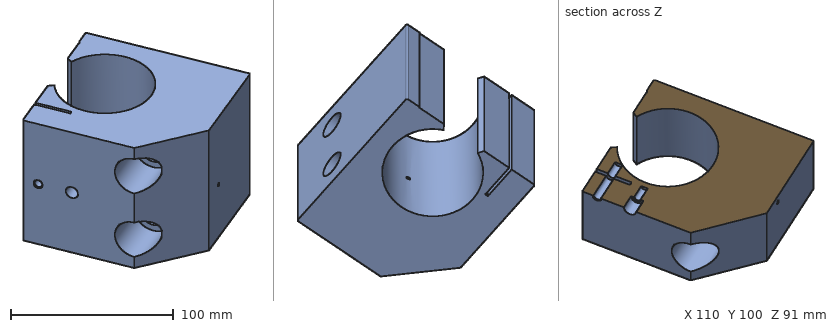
import cadquery as cq

length = 110.0
width = 100.0
height = 91.0
mid_height = height / 2
corner_chamfer = 35.0
edge_radius = 1.0

bore_x = 32.0
bore_y = 55.0
bore_diameter = 62.0
mouth_outer_width = 31.0
mouth_inner_width = 26.6
mouth_depth = 3.8

relief_depth = 0.4
pad_width = 10.0

slot_bottom = 18.0
slot_width = 2.0
slot_depth = 24.4

mounting_x = length - corner_chamfer
mounting_spacing = 48.0
mounting_diameter = 17.5
counterbore_diameter = 26.0
counterbore_depth = 30.0

clamp_x = 10.8
clamp_diameter = 5.0
clamp_mouth_diameter = 6.0
clamp_mouth_depth = 0.5
clamp_depth = 30.0

set_screw_x = 33.3
set_screw_diameter = 4.2
set_screw_mouth_diameter = 5.3
set_screw_mouth_depth = 0.5
set_screw_counterbore_diameter = 8.1
set_screw_counterbore_depth = 10.0
set_screw_depth = 20.0

cross_hole_y = 50.2
cross_hole_z = 39.9
cross_hole_diameter = 2.4


def make_block():
    block = cq.Workplane("XY").box(length, width, height, centered=False)
    relief = cq.Workplane("XY").box(relief_depth, width - pad_width, height, centered=False)
    block = block.cut(relief)
    block = block.edges("|Z").edges(">Y").fillet(edge_radius)
    block = block.faces("<Y").edges("<X").fillet(edge_radius)
    corner = (
        cq.Workplane("XY")
        .moveTo(length - corner_chamfer, 0)
        .lineTo(length, 0)
        .lineTo(length, corner_chamfer)
        .close()
        .extrude(height)
    )
    return block.cut(corner)


def make_bore():
    bore = cq.Workplane("XY").center(bore_x, bore_y).circle(bore_diameter / 2).extrude(height)
    mouth = (
        cq.Workplane("XY")
        .moveTo(relief_depth, bore_y - mouth_outer_width / 2)
        .lineTo(mouth_depth, bore_y - mouth_inner_width / 2)
        .lineTo(bore_x, bore_y)
        .lineTo(mouth_depth, bore_y + mouth_inner_width / 2)
        .lineTo(relief_depth, bore_y + mouth_outer_width / 2)
        .close()
        .extrude(height)
    )
    return bore.union(mouth)


def make_slot():
    slot = cq.Workplane("XY").box(slot_depth, slot_width, height, centered=False)
    return slot.translate((0, slot_bottom, 0))


def front_hole(x, z, diameter, depth):
    """Cylinder running back from the front face."""
    return cq.Workplane("XZ").center(x, z).circle(diameter / 2).extrude(-depth)


def front_countersink(x, z, start_depth, mouth_diameter, diameter, depth):
    """Cone narrowing from the mouth diameter to the hole diameter."""
    return (
        cq.Workplane("XZ", origin=(0, start_depth, 0))
        .center(x, z)
        .circle(mouth_diameter / 2)
        .workplane(offset=-depth)
        .circle(diameter / 2)
        .loft()
    )


def make_cross_hole():
    return (
        cq.Workplane("YZ", origin=(bore_x, 0, 0))
        .center(cross_hole_y, cross_hole_z)
        .circle(cross_hole_diameter / 2)
        .extrude(length - bore_x)
    )


result = make_block().cut(make_bore()).cut(make_slot()).cut(make_cross_hole())

for side in (-1, 1):
    hole_z = mid_height + side * mounting_spacing / 2
    result = result.cut(front_hole(mounting_x, hole_z, mounting_diameter, width))
    result = result.cut(front_hole(mounting_x, hole_z, counterbore_diameter, counterbore_depth))

result = result.cut(front_hole(clamp_x, mid_height, clamp_diameter, clamp_depth))
result = result.cut(
    front_countersink(clamp_x, mid_height, 0, clamp_mouth_diameter, clamp_diameter, clamp_mouth_depth)
)

result = result.cut(front_hole(set_screw_x, mid_height, set_screw_diameter, set_screw_depth))
result = result.cut(
    front_hole(set_screw_x, mid_height, set_screw_counterbore_diameter, set_screw_counterbore_depth)
)
result = result.cut(
    front_countersink(
        set_screw_x,
        mid_height,
        set_screw_counterbore_depth,
        set_screw_mouth_diameter,
        set_screw_diameter,
        set_screw_mouth_depth,
    )
)